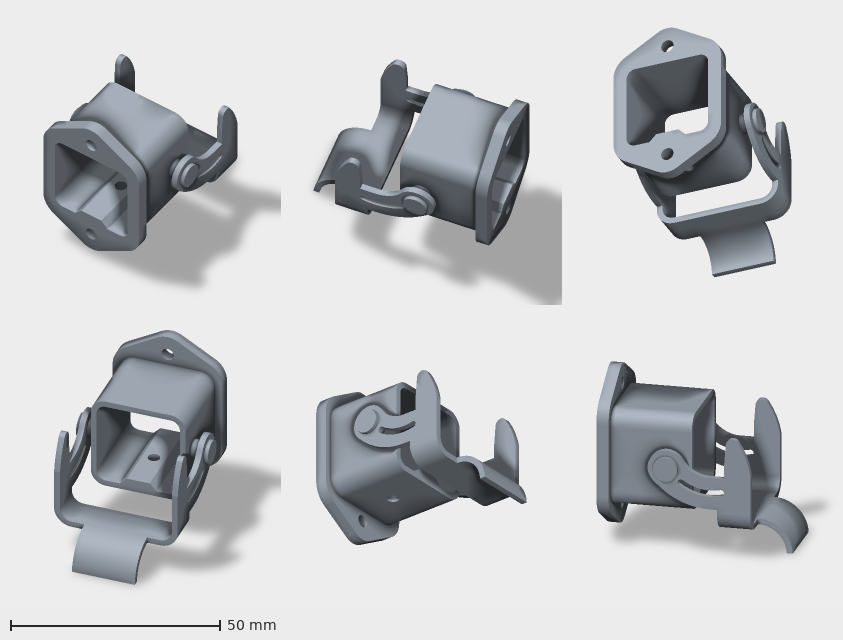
import cadquery as cq
import math


FLANGE_THICKNESS = 3.0
FLANGE_HALF_WIDTH = 14.0
FLANGE_CORNER_RADIUS = 6.0
FLANGE_SLOPE = math.radians(30)
SCREW_SPACING = 30.0
SCREW_HOLE_DIAMETER = 3.2
EAR_RADIUS = 5.0

SLEEVE_LENGTH = 23.0
OPENING_WIDTH = 21.2
OPENING_CORNER_RADIUS = 2.3
WALL = 1.5
SLEEVE_WIDTH = OPENING_WIDTH + 2 * WALL
SLEEVE_CORNER_RADIUS = 3.85

KEY_TOP_WIDTH = 5.8
KEY_HEIGHT = 1.8

KEY_HOLE_DIAMETER = 3.0
KEY_HOLE_Y = 12.3

PIVOT_Y = 17.5
PIN_DIAMETER = 4.9
PIN_HEAD_DIAMETER = 6.0
PIN_HEAD_HEIGHT = 1.05

SHEET = 1.5
LEVER_HALF_WIDTH = 15.75
LEVER_BACK_Y = 38.25
LEVER_BOTTOM_Z = -15.0
BEND_RADIUS = 4.5
STRAP_LENGTH = 8.2
STRAP_FRONT_Y = LEVER_BACK_Y - STRAP_LENGTH
BEND_TOP_Z = LEVER_BOTTOM_Z + BEND_RADIUS

EYE_RADIUS = 4.5
NECK_TOP_Z = -1.5
NECK_BOTTOM_Z = -9.45
NECK_INNER_RADIUS = 8.0
NECK_OUTER_RADIUS = 18.0

SLOT_RADIUS = 12.0
SLOT_WIDTH = 1.6
SLOT_BACK_ANGLE = math.radians(13.5)
SLOT_FRONT_ANGLE = math.radians(-35.5)

HORN_FRONT_Y = 31.8
HORN_FRONT_TAPER_Z = 2.0
HORN_TIP_Y = 33.8
HORN_TIP_Z = 7.0
HORN_TIP_RADIUS = 1.6
HORN_BACK_RADIUS = 20.0

TAB_WIDTH = 16.0
TAB_RADIUS = 8.545
TAB_END_Z = -21.75


def polar(center, radius, angle):
    """Point on a circle at the given angle."""
    return (center[0] + radius * math.cos(angle), center[1] + radius * math.sin(angle))


def direction(start, end):
    """Angle of the line from start to end."""
    return math.atan2(end[1] - start[1], end[0] - start[0])


def make_flange():
    """Lozenge plate: rounded ears at the screws, sloped sides and rounded corners."""
    half_spacing = SCREW_SPACING / 2
    rise = (EAR_RADIUS - FLANGE_HALF_WIDTH * math.sin(FLANGE_SLOPE)) / math.cos(FLANGE_SLOPE)
    side_z = half_spacing + rise
    apex_z = half_spacing + EAR_RADIUS / math.cos(FLANGE_SLOPE)
    outline = [
        (0, apex_z),
        (FLANGE_HALF_WIDTH, side_z),
        (FLANGE_HALF_WIDTH, -side_z),
        (0, -apex_z),
        (-FLANGE_HALF_WIDTH, -side_z),
        (-FLANGE_HALF_WIDTH, side_z),
    ]
    plate = cq.Workplane("XZ").polyline(outline).close().extrude(-FLANGE_THICKNESS)
    plate = plate.edges("|Y").edges("<X or >X").fillet(FLANGE_CORNER_RADIUS)
    plate = plate.edges("|Y").edges("<Z or >Z").fillet(EAR_RADIUS)
    screws = (
        cq.Workplane("XZ")
        .pushPoints([(0, half_spacing), (0, -half_spacing)])
        .circle(SCREW_HOLE_DIAMETER / 2)
        .extrude(-FLANGE_THICKNESS)
    )
    return plate.cut(screws)


def square_bar(width, corner_radius):
    """Square bar along the sleeve with rounded long edges."""
    return cq.Workplane("XZ").rect(width, width).extrude(-SLEEVE_LENGTH).edges("|Y").fillet(corner_radius)


def make_key():
    """Trapezoidal rib along the floor of the opening."""
    floor_z = -OPENING_WIDTH / 2
    top_half = KEY_TOP_WIDTH / 2
    base_half = top_half + KEY_HEIGHT
    profile = [
        (-base_half, floor_z),
        (base_half, floor_z),
        (top_half, floor_z + KEY_HEIGHT),
        (-top_half, floor_z + KEY_HEIGHT),
    ]
    return cq.Workplane("XZ").polyline(profile).close().extrude(-SLEEVE_LENGTH)


def make_key_hole():
    """Vertical cylinder from the underside of the sleeve up to the top of the key."""
    bottom_z = -SLEEVE_WIDTH / 2
    return (
        cq.Workplane("XY", origin=(0, KEY_HOLE_Y, bottom_z))
        .circle(KEY_HOLE_DIAMETER / 2)
        .extrude(WALL + KEY_HEIGHT)
    )


def neck_center_y():
    """Y of the inner neck arc, which is tangent to both the eye and the neck's level top edge."""
    rise = NECK_TOP_Z + NECK_INNER_RADIUS
    return PIVOT_Y + math.sqrt((EYE_RADIUS + NECK_INNER_RADIUS) ** 2 - rise**2)


def make_arm(inner_x):
    """One flat side of the lever, from x = inner_x outwards by the sheet thickness."""
    pivot = (PIVOT_Y, 0)
    neck_y = neck_center_y()
    inner_center = (neck_y, NECK_TOP_Z + NECK_INNER_RADIUS)
    outer_center = (neck_y, NECK_BOTTOM_Z + NECK_OUTER_RADIUS)
    tip = (HORN_TIP_Y, HORN_TIP_Z)
    down = -math.pi / 2

    eye_top_angle = direction(pivot, inner_center)
    eye_top = polar(pivot, EYE_RADIUS, eye_top_angle)
    inner_mid = polar(inner_center, NECK_INNER_RADIUS, (eye_top_angle - math.pi + down) / 2)

    center_dist = math.dist(pivot, outer_center)
    center_angle = direction(pivot, outer_center)
    tangent_angle = center_angle - math.acos((EYE_RADIUS - NECK_OUTER_RADIUS) / center_dist)
    eye_bottom = polar(pivot, EYE_RADIUS, tangent_angle)
    outer_start = polar(outer_center, NECK_OUTER_RADIUS, tangent_angle)
    outer_mid = polar(outer_center, NECK_OUTER_RADIUS, (tangent_angle + down) / 2)
    eye_front = polar(pivot, EYE_RADIUS, (eye_top_angle + tangent_angle) / 2 + math.pi)

    back_foot = (LEVER_BACK_Y, 0)
    foot_to_tip = math.dist(back_foot, tip)
    tip_to_center = HORN_BACK_RADIUS - HORN_TIP_RADIUS
    cosine_top = HORN_BACK_RADIUS**2 + foot_to_tip**2 - tip_to_center**2
    cosine = cosine_top / (2 * HORN_BACK_RADIUS * foot_to_tip)
    back_center = polar(back_foot, HORN_BACK_RADIUS, direction(back_foot, tip) + math.acos(cosine))
    foot_angle = direction(back_center, back_foot)
    tip_back_angle = direction(back_center, tip)
    back_mid = polar(back_center, HORN_BACK_RADIUS, (foot_angle + tip_back_angle) / 2)
    tip_back = polar(tip, HORN_TIP_RADIUS, tip_back_angle)
    tip_top = polar(tip, HORN_TIP_RADIUS, math.pi / 2)

    taper_foot = (HORN_FRONT_Y, HORN_FRONT_TAPER_Z)
    tangent_offset = math.acos(HORN_TIP_RADIUS / math.dist(tip, taper_foot))
    tip_front = polar(tip, HORN_TIP_RADIUS, direction(tip, taper_foot) - tangent_offset)

    arm = (
        cq.Workplane("YZ", origin=(inner_x, 0, 0))
        .moveTo(LEVER_BACK_Y, BEND_TOP_Z)
        .lineTo(*back_foot)
        .threePointArc(back_mid, tip_back)
        .threePointArc(tip_top, tip_front)
        .lineTo(*taper_foot)
        .lineTo(HORN_FRONT_Y, NECK_TOP_Z)
        .lineTo(neck_y, NECK_TOP_Z)
        .threePointArc(inner_mid, eye_top)
        .threePointArc(eye_front, eye_bottom)
        .lineTo(*outer_start)
        .threePointArc(outer_mid, (neck_y, NECK_BOTTOM_Z))
        .lineTo(STRAP_FRONT_Y, NECK_BOTTOM_Z)
        .lineTo(STRAP_FRONT_Y, BEND_TOP_Z)
        .close()
        .extrude(SHEET)
    )
    return arm.cut(make_slot(inner_x, inner_center))


def make_slot(inner_x, center):
    """Curved slot with round ends; its angles are measured from straight below the centre."""
    down = -math.pi / 2
    back = down + SLOT_BACK_ANGLE
    front = down + SLOT_FRONT_ANGLE
    middle = (back + front) / 2
    end_radius = SLOT_WIDTH / 2
    upper = SLOT_RADIUS - end_radius
    lower = SLOT_RADIUS + end_radius
    quarter = math.pi / 2
    back_end = polar(polar(center, SLOT_RADIUS, back), end_radius, back + quarter)
    front_end = polar(polar(center, SLOT_RADIUS, front), end_radius, front - quarter)
    return (
        cq.Workplane("YZ", origin=(inner_x, 0, 0))
        .moveTo(*polar(center, upper, front))
        .threePointArc(polar(center, upper, middle), polar(center, upper, back))
        .threePointArc(back_end, polar(center, lower, back))
        .threePointArc(polar(center, lower, middle), polar(center, lower, front))
        .threePointArc(front_end, polar(center, upper, front))
        .close()
        .extrude(SHEET)
    )


def make_strap():
    """Cross strap under the lever, with a rounded bend up to each arm."""
    inner_half = LEVER_HALF_WIDTH - SHEET
    flat_half = LEVER_HALF_WIDTH - BEND_RADIUS
    inner_bend = BEND_RADIUS - SHEET
    floor_z = LEVER_BOTTOM_Z + SHEET
    return (
        cq.Workplane("XZ", origin=(0, STRAP_FRONT_Y, 0))
        .moveTo(-LEVER_HALF_WIDTH, BEND_TOP_Z)
        .radiusArc((-flat_half, LEVER_BOTTOM_Z), -BEND_RADIUS)
        .lineTo(flat_half, LEVER_BOTTOM_Z)
        .radiusArc((LEVER_HALF_WIDTH, BEND_TOP_Z), -BEND_RADIUS)
        .lineTo(inner_half, BEND_TOP_Z)
        .radiusArc((flat_half, floor_z), inner_bend)
        .lineTo(-flat_half, floor_z)
        .radiusArc((-inner_half, BEND_TOP_Z), inner_bend)
        .close()
        .extrude(-STRAP_LENGTH)
    )


def make_tab():
    """Finger tab: sheet leaving the back of the strap and curling down almost a quarter turn."""
    top_z = LEVER_BOTTOM_Z + SHEET
    inner_radius = TAB_RADIUS - SHEET
    end_rise = TAB_END_Z - (top_z - TAB_RADIUS)
    outer_end_y = LEVER_BACK_Y + math.sqrt(TAB_RADIUS**2 - end_rise**2)
    inner_end_y = LEVER_BACK_Y + math.sqrt(inner_radius**2 - end_rise**2)
    return (
        cq.Workplane("YZ", origin=(-TAB_WIDTH / 2, 0, 0))
        .moveTo(LEVER_BACK_Y, top_z)
        .radiusArc((outer_end_y, TAB_END_Z), TAB_RADIUS)
        .lineTo(inner_end_y, TAB_END_Z)
        .radiusArc((LEVER_BACK_Y, LEVER_BOTTOM_Z), -inner_radius)
        .close()
        .extrude(TAB_WIDTH)
    )


def make_pin():
    """Headed pivot pin from the sleeve wall through the +X arm."""
    wall_x = SLEEVE_WIDTH / 2
    shank = (
        cq.Workplane("YZ", origin=(wall_x, PIVOT_Y, 0))
        .circle(PIN_DIAMETER / 2)
        .extrude(LEVER_HALF_WIDTH - wall_x)
    )
    head = (
        cq.Workplane("YZ", origin=(LEVER_HALF_WIDTH, PIVOT_Y, 0))
        .circle(PIN_HEAD_DIAMETER / 2)
        .extrude(PIN_HEAD_HEIGHT)
    )
    return shank.union(head)


housing = make_flange().union(square_bar(SLEEVE_WIDTH, SLEEVE_CORNER_RADIUS))
housing = housing.cut(square_bar(OPENING_WIDTH, OPENING_CORNER_RADIUS)).union(make_key())
housing = housing.cut(make_key_hole())

lever = make_strap().union(make_tab())
side = make_arm(LEVER_HALF_WIDTH - SHEET).union(make_pin())
lever = lever.union(side).union(side.mirror("YZ"))

result = housing.union(lever)